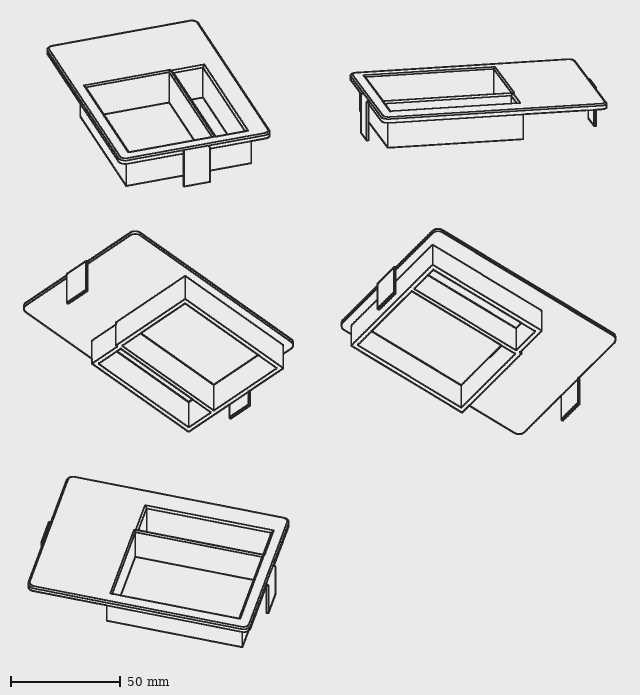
import cadquery as cq
import math

OVERALL_LENGTH = 107.6
TAB_THICKNESS = 1.2
PLATE_LENGTH = OVERALL_LENGTH - 2 * TAB_THICKNESS
PLATE_WIDTH = 73.1
PLATE_THICKNESS = 2.6
PLATE_CORNER_RADIUS = 3.2
PLATE_CHAMFER = 0.8

TAB_WIDTH = 12.7
TAB_BOTTOM = -19.8
TAB_TOP = -PLATE_CHAMFER
TAB_EDGE_CHAMFER = 0.2

WALL = 2.2
WELL_BOTTOM = -17.1
WELL_RIGHT = 46.4
DIVIDER_FRONT = 9.9
DIVIDER_BACK = 11.7
LARGE_OPENING = (-13.7, WELL_RIGHT, -30.3, DIVIDER_FRONT)
SMALL_OPENING = (-12.7, WELL_RIGHT, DIVIDER_BACK, 25.9)
LARGE_RIM_CHAMFER = 0.8
SMALL_RIM_CHAMFER = 1.0


def block(bounds, bottom, top):
    """Rectangular block over (X min, X max, Y min, Y max)."""
    x_min, x_max, y_min, y_max = bounds
    return cq.Workplane("XY").box(
        x_max - x_min, y_max - y_min, top - bottom, centered=False
    ).translate((x_min, y_min, bottom))


def well_outside(opening, back_wall):
    """Solid block enclosing a well and its walls, up to the plate top."""
    x_min, x_max, y_min, y_max = opening
    outline = (x_min - WALL, x_max + WALL, y_min - WALL, y_max + back_wall)
    return block(outline, WELL_BOTTOM, 0)


def well_inside(opening, rim_chamfer):
    """Through opening that widens at the plate top."""
    x_min, x_max, y_min, y_max = opening
    flare = (
        cq.Workplane("XY")
        .center((x_min + x_max) / 2, (y_min + y_max) / 2)
        .rect(x_max - x_min + 2 * rim_chamfer, y_max - y_min + 2 * rim_chamfer)
        .extrude(-rim_chamfer, taper=45)
    )
    return block(opening, WELL_BOTTOM, 0).union(flare)


def plate():
    return (
        cq.Workplane("XY")
        .box(PLATE_LENGTH, PLATE_WIDTH, PLATE_THICKNESS, centered=(True, True, False))
        .translate((0, 0, -PLATE_THICKNESS))
        .edges("|Z").fillet(PLATE_CORNER_RADIUS)
        .faces(">Z").chamfer(PLATE_CHAMFER)
    )


def right_tab():
    """Thin tab with a quarter-round shoulder and bevelled side and bottom edges."""
    inner = PLATE_LENGTH / 2
    outer = OVERALL_LENGTH / 2
    arc_drop = TAB_THICKNESS * math.sin(math.radians(45))
    tab = (
        cq.Workplane("XZ")
        .moveTo(inner, TAB_BOTTOM)
        .lineTo(outer, TAB_BOTTOM)
        .lineTo(outer, TAB_TOP - TAB_THICKNESS)
        .threePointArc(
            (inner + arc_drop, TAB_TOP - TAB_THICKNESS + arc_drop),
            (inner, TAB_TOP),
        )
        .close()
        .extrude(TAB_WIDTH / 2, both=True)
    )
    return tab.faces("<Y or >Y or <Z").edges().chamfer(TAB_EDGE_CHAMFER)


right = right_tab()
result = (
    plate()
    .union(well_outside(LARGE_OPENING, DIVIDER_BACK - DIVIDER_FRONT))
    .union(well_outside(SMALL_OPENING, WALL))
    .cut(well_inside(LARGE_OPENING, LARGE_RIM_CHAMFER))
    .cut(well_inside(SMALL_OPENING, SMALL_RIM_CHAMFER))
    .union(right)
    .union(right.mirror("YZ"))
)